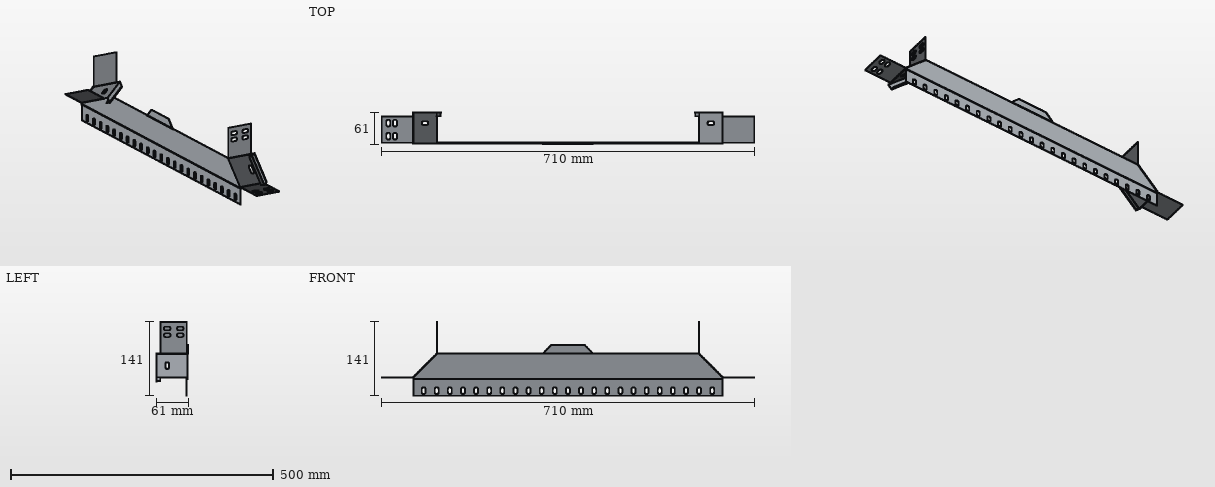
import cadquery as cq

length = 710.0
height = 141.0
depth = 61.0
sheet = 1.0
step = 1.5

centre_tab_y = 0.0
web_y = centre_tab_y + step
flange_y = web_y + step

flange_half_length = 295.0
flange_height = 33.0
web_top = 81.0

flange_slot_count = 23
flange_slot_pitch = 25.0
flange_slot_length = 13.0
flange_slot_width = 7.0
flange_slot_z = 10.0

centre_tab_half_base = 47.5
centre_tab_half_top = 32.0
centre_tab_top = 97.0

tab_length = 60.0
tab_width = 50.5
slope_foot_x = length / 2 - tab_length
slope_foot_z = 35.5
slope_rise = web_top - slope_foot_z
slope_top_x = slope_foot_x - slope_rise
tab_mid_y = flange_y + tab_width / 2

lip_reach = 8.5
lip_return = 8.0

tab_slot_length = 13.0
tab_slot_width = 7.0
tab_slot_pitch_along = 13.0
tab_slot_pitch_across = 25.0
tab_slot_from_end = 19.0
slope_slot_length = 18.0
slope_slot_width = 6.5
slope_slot_y = web_y + 39.0

diagonal = 2 ** 0.5
cut_depth = 10 * sheet


def plate_xz(points, y_front, thickness):
    """Extrude an XZ outline backwards (+Y) from y_front."""
    return (
        cq.Workplane("XZ", origin=(0, y_front, 0))
        .polyline(points)
        .close()
        .extrude(-thickness)
    )


def make_ledge(half_length, top, y_front):
    """Level strip that joins two sheets lying one step apart along Y."""
    return plate_xz(
        [
            (-half_length, top - sheet),
            (half_length, top - sheet),
            (half_length, top),
            (-half_length, top),
        ],
        y_front,
        step + sheet,
    )


def make_web():
    web_corner_z = slope_foot_z + slope_foot_x - flange_half_length
    web = plate_xz(
        [
            (-flange_half_length, flange_height - sheet),
            (flange_half_length, flange_height - sheet),
            (flange_half_length, web_corner_z),
            (slope_top_x, web_top),
            (-slope_top_x, web_top),
            (-flange_half_length, web_corner_z),
        ],
        web_y,
        sheet,
    )
    flange = plate_xz(
        [
            (-flange_half_length, 0),
            (flange_half_length, 0),
            (flange_half_length, flange_height),
            (-flange_half_length, flange_height),
        ],
        flange_y,
        sheet,
    )
    slots = (
        cq.Workplane("XZ", origin=(0, flange_y, flange_slot_z))
        .rarray(flange_slot_pitch, 7, flange_slot_count, 1)
        .slot2D(flange_slot_length, flange_slot_width, 90)
        .extrude(cut_depth, both=True)
    )
    ledge = make_ledge(flange_half_length, flange_height, web_y)
    return web.union(flange.cut(slots)).union(ledge)


def make_centre_tab():
    tab = plate_xz(
        [
            (-centre_tab_half_base, web_top - sheet),
            (centre_tab_half_base, web_top - sheet),
            (centre_tab_half_base, web_top),
            (centre_tab_half_top, centre_tab_top),
            (-centre_tab_half_top, centre_tab_top),
            (-centre_tab_half_base, web_top),
        ],
        centre_tab_y,
        sheet,
    )
    return tab.union(make_ledge(centre_tab_half_base, web_top, centre_tab_y))


def make_sloped_strip(offset, y_front, width):
    """Strip of sheet parallel to the slope, set in from it by offset in X and Z."""
    skin = sheet * diagonal
    foot = (slope_foot_x - offset, slope_foot_z - offset)
    top = (slope_top_x - offset, web_top - offset)
    return plate_xz(
        [foot, top, (top[0], top[1] - skin), (foot[0] - skin, foot[1])],
        y_front,
        width,
    )


def make_lip():
    back_y = depth - sheet
    hanging_wall = plate_xz(
        [
            (slope_foot_x, slope_foot_z),
            (slope_top_x, web_top),
            (slope_top_x - lip_reach, web_top - lip_reach),
            (slope_foot_x - lip_reach, slope_foot_z - lip_reach),
        ],
        back_y,
        sheet,
    )
    inturned_edge = make_sloped_strip(lip_reach - sheet, depth - lip_return, lip_return)
    return hanging_wall.union(inturned_edge)


def tab_slots(workplane):
    """Four slots, long across the tab, on a plane whose local X runs along it."""
    return (
        workplane.rarray(tab_slot_pitch_along, tab_slot_pitch_across, 2, 2)
        .slot2D(tab_slot_length, tab_slot_width, 90)
        .extrude(cut_depth, both=True)
    )


def make_bracket(slotted_tabs):
    """Bracket for the +X end."""
    slope = make_sloped_strip(0, web_y, depth - web_y)
    slope_slot_plane = cq.Plane(
        origin=((slope_foot_x + slope_top_x) / 2, slope_slot_y, (slope_foot_z + web_top) / 2),
        xDir=(1, 0, -1),
        normal=(1, 0, 1),
    )
    slope_slot = (
        cq.Workplane(slope_slot_plane)
        .slot2D(slope_slot_length, slope_slot_width)
        .extrude(cut_depth, both=True)
    )
    level_tab = (
        cq.Workplane("XY", origin=(slope_foot_x - sheet, flange_y, slope_foot_z - sheet))
        .box(tab_length + sheet, tab_width, sheet, centered=False)
    )
    upright_tab = (
        cq.Workplane("XY", origin=(slope_top_x - sheet, flange_y, web_top - sheet))
        .box(sheet, tab_width, height - web_top + sheet, centered=False)
    )
    if slotted_tabs:
        level_origin = (length / 2 - tab_slot_from_end, tab_mid_y, slope_foot_z)
        upright_plane = cq.Plane(
            origin=(slope_top_x, tab_mid_y, height - tab_slot_from_end),
            xDir=(0, 0, 1),
            normal=(1, 0, 0),
        )
        level_tab = level_tab.cut(tab_slots(cq.Workplane("XY", origin=level_origin)))
        upright_tab = upright_tab.cut(tab_slots(cq.Workplane(upright_plane)))
    return slope.cut(slope_slot).union(make_lip()).union(level_tab).union(upright_tab)


right_bracket = make_bracket(slotted_tabs=False)
left_bracket = make_bracket(slotted_tabs=True).mirror("YZ")

result = make_web().union(make_centre_tab()).union(right_bracket).union(left_bracket)